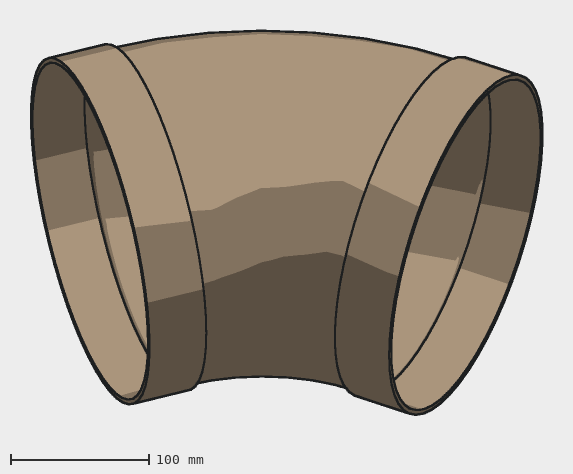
import cadquery as cq
import math

bend_angle = 45.0
bend_radius = 250.0
pipe_outer_diameter = 250.0
pipe_bore_diameter = 242.7
socket_outer_diameter = 257.0
socket_bore_diameter = 250.0
socket_length = 43.5

lip_radius = (socket_bore_diameter - pipe_bore_diameter) / 2


def bend(diameter):
    """Solid round bar following the bend."""
    axis_start = (bend_radius, 0)
    axis_end = (bend_radius, -1)
    return cq.Workplane("XZ").circle(diameter / 2).revolve(bend_angle, axis_start, axis_end)


def inlet_cylinder(diameter):
    """Solid cylinder reaching from the start of the bend along -Y."""
    return cq.Workplane("XZ").circle(diameter / 2).extrude(socket_length)


def inlet_bore():
    """Socket bore with a quarter-round lip narrowing to the pipe bore at the start of the bend."""
    pipe_radius = pipe_bore_diameter / 2
    socket_radius = socket_bore_diameter / 2
    arc_reach = lip_radius * math.sqrt(0.5)
    arc_middle = (socket_radius - arc_reach, -arc_reach)
    return (
        cq.Workplane("XY")
        .lineTo(pipe_radius, 0)
        .threePointArc(arc_middle, (socket_radius, -lip_radius))
        .lineTo(socket_radius, -socket_length)
        .lineTo(0, -socket_length)
        .close()
        .revolve(360, (0, 0, 0), (0, 1, 0))
    )


def at_outlet(body):
    """Flip an inlet body and swing it around to the far end of the bend."""
    axis_start = (bend_radius, 0, 0)
    axis_end = (bend_radius, 0, 1)
    return body.mirror("XZ").rotate(axis_start, axis_end, -bend_angle)


def elbow(pipe_diameter, inlet):
    """Solid elbow: the bend with the inlet body at both ends."""
    return bend(pipe_diameter).union(inlet).union(at_outlet(inlet))


outer_form = elbow(pipe_outer_diameter, inlet_cylinder(socket_outer_diameter))
bore = elbow(pipe_bore_diameter, inlet_bore())
result = outer_form.cut(bore)